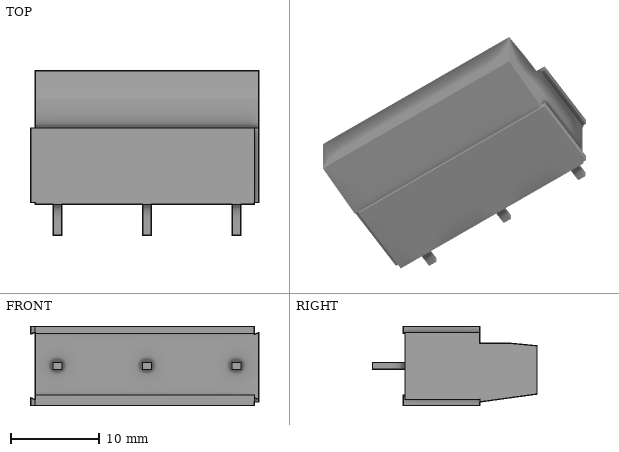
import cadquery as cq


pin_count = 3
pin_pitch = 10.16
pin_width = 1.0
pin_height = 0.8
pin_length = 3.7
pin_embed = 1.0

end_margin = 2.54
housing_length = (pin_count - 1) * pin_pitch + 2 * end_margin
housing_height = 9.0
base_depth = 8.5
left_end = -housing_length / 2
right_end = left_end + housing_length
pin_center_z = housing_height / 2

nose_end = 15.0
nose_taper_start = 11.8
shoulder_top = 7.1
shoulder_bottom = 0.4
nose_top = 6.8
nose_bottom = 1.3

rail_projection = 0.2
top_rail_height = 0.8
bottom_rail_height = 1.2

tongue_reach = 0.5
tongue_tip_height = 0.9
tongue_root_height = 0.7


def make_block(x_min, y_min, z_min, length, depth, height):
    """Box located by its lowest corner."""
    return cq.Workplane("XY").box(length, depth, height, centered=False).translate((x_min, y_min, z_min))


def make_body():
    """Base and tapered nose as one side profile, extruded along the pin row."""
    profile = [
        (0, 0),
        (base_depth, 0),
        (base_depth, shoulder_bottom),
        (nose_end, nose_bottom),
        (nose_end, nose_top),
        (nose_taper_start, shoulder_top),
        (base_depth, shoulder_top),
        (base_depth, housing_height),
        (0, housing_height),
    ]
    return cq.Workplane("YZ", origin=(left_end, 0, 0)).polyline(profile).close().extrude(housing_length)


def make_rail(z_min, height):
    """Rail running along the pin face."""
    return make_block(left_end, -rail_projection, z_min, housing_length, rail_projection, height)


def make_dovetail(root_x, outer_z, inward):
    """Wedge on an outer face, growing taller towards its tip at lower X; inward is +1 or -1 in Z."""
    tip_x = root_x - tongue_reach
    profile = [
        (root_x, outer_z),
        (tip_x, outer_z),
        (tip_x, outer_z + inward * tongue_tip_height),
        (root_x, outer_z + inward * tongue_root_height),
    ]
    section = cq.Workplane("XZ").polyline(profile).close()
    return section.extrude(-base_depth)


def make_pin(center_x):
    """Rectangular pin, rooted inside the body."""
    return make_block(
        center_x - pin_width / 2,
        -pin_length,
        pin_center_z - pin_height / 2,
        pin_width,
        pin_length + pin_embed,
        pin_height,
    )


result = make_body()
result = result.union(make_rail(housing_height - top_rail_height, top_rail_height))
result = result.union(make_rail(0, bottom_rail_height))

rail_relief = make_block(
    right_end - tongue_reach, -rail_projection, 0, tongue_reach, rail_projection, housing_height
)
result = result.cut(rail_relief)

for outer_z, inward in ((0, 1), (housing_height, -1)):
    result = result.cut(make_dovetail(right_end, outer_z, inward))
    result = result.union(make_dovetail(left_end, outer_z, inward))

first_pin_x = left_end + end_margin
for index in range(pin_count):
    result = result.union(make_pin(first_pin_x + index * pin_pitch))